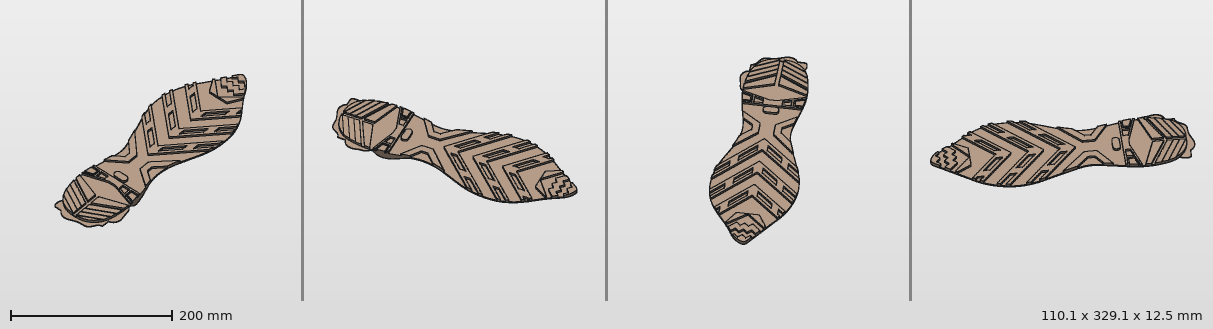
import cadquery as cq
import math


base_height = 2.0
tread_height = 3.0
sole_top = base_height + tread_height
flap_height = 1.0

sole_length = 319.5
sole_half_width = 55.0
beyond_edge = 65.8

chevron_tips = [238.0, 197.5, 158.0]
chevron_width = 19.0
left_slope = 0.9
right_slope = 1.08
pocket_offset = 5.3
pocket_width = 8.2
inner_pocket_span = (6.2, 26.5)
outer_pocket_start = 36.2

zigzag_center = 1.3
zigzag_pitch = 10.2
zigzag_corners = 5
zigzag_depth = 5.0
zigzag_valleys = [307.5, 297.7, 287.0]
toe_pad_bottom = 270.7
toe_pad_gap = 0.5
toe_pad_half_width = 14.5
toe_pad_side_slope = 1.75
toe_notch_left_slope = 0.9
toe_notch_right_slope = 0.83

waist_center = 121.0
waist_outer_x = 9.5
waist_outer_half_length = 8.0
waist_inner_x = 18.5
waist_inner_half_length = 4.3
waist_upper_slope = 1.0
waist_lower_slope = 0.72

stud_length = 19.7
stud_width = 9.5
stud_y = 87.8

bar_top = 80.3
bar_bottom = 71.5
bar_flat_half_width = 5.0
bar_slope = 0.32
bar_pocket_top = 77.5
bar_pocket_bottom = 75.3
bar_inner_pocket_span = (12.2, 23.5)
bar_outer_pocket_start = 26.0
bar_island_gap = 2.0

heel_groove_half_width = 2.5
front_pad_top = 42.8
front_pad_bottom = 28.5
front_pad_top_slope = 0.35
front_pad_bottom_slope = 0.54
rear_pad_top = 24.7
rear_slope = 0.53
ramp_count = 3
ramp_pitch = 8.0
ramp_drop = 1.0

lug_front = 116.5
lug_rear = 61.0
lug_lowest_y = 74.5
lug_depth = 7.5
lug_inner_x = 30.3
lug_rear_inner_x = 35.0
lug_bend_y = 92.0

right_edge = [
    (10.0, 313.0), (21.0, 295.7), (34.0, 277.5), (45.7, 260.0), (53.0, 240.8), (sole_half_width, 218.0),
    (51.5, 194.5), (43.0, 170.7), (34.0, 146.7), (30.3, 121.0), (32.5, 104.0), (37.2, 81.2), (40.0, 58.5),
    (38.5, 36.2), (31.2, 14.8), (18.0, 3.3),
]
left_edge = [
    (-8.5, 313.0), (-20.5, 295.7), (-33.2, 277.5), (-44.5, 260.0), (-51.3, 242.0), (-sole_half_width, 218.0),
    (-52.0, 194.5), (-44.0, 170.7), (-35.5, 146.7), (-30.3, 121.0), (-32.5, 104.0), (-37.2, 81.2), (-40.0, 58.5),
    (-38.5, 36.2), (-31.2, 14.8), (-18.0, 3.3),
]


def sole_prism(bottom, height):
    tip = (0, sole_length)
    heel = (0, 0)
    return (
        cq.Workplane("XY", origin=(0, 0, bottom))
        .spline([tip] + right_edge + [heel] + left_edge[::-1], periodic=True)
        .close()
        .extrude(height)
    )


def tread_prism(points):
    return cq.Workplane("XY", origin=(0, 0, base_height)).polyline(points).close().extrude(tread_height)


def mirrored_pair(pad):
    return [pad, pad.mirror("YZ")]


def arm(tip_y, width, start, end, side):
    """Sloping bar of one chevron half between two distances from the centre line."""
    slope = right_slope if side > 0 else left_slope
    return tread_prism([
        (side * start, tip_y + slope * start),
        (side * end, tip_y + slope * end),
        (side * end, tip_y + slope * end - width),
        (side * start, tip_y + slope * start - width),
    ])


def chevron(tip_y):
    bar = arm(tip_y, chevron_width, 0, beyond_edge, 1).union(arm(tip_y, chevron_width, 0, beyond_edge, -1))
    for side in (1, -1):
        for start, end in (inner_pocket_span, (outer_pocket_start, beyond_edge)):
            bar = bar.cut(arm(tip_y - pocket_offset, pocket_width, start, end, side))
    return bar


def zigzag(valley_y):
    """Corner points of alternating valleys and peaks, with straight arms rising past the sole edges."""
    first = zigzag_center - (zigzag_corners - 1) * zigzag_pitch / 4
    last = first + (zigzag_corners - 1) * zigzag_pitch / 2
    points = [(first - beyond_edge, valley_y + beyond_edge)]
    for step in range(zigzag_corners):
        rise = zigzag_depth if step % 2 else 0
        points.append((first + step * zigzag_pitch / 2, valley_y + rise))
    points.append((last + beyond_edge, valley_y + beyond_edge))
    return points


def toe_steps():
    tip_line, step_top, step_bottom = [zigzag(valley_y) for valley_y in zigzag_valleys]
    return [tread_prism(tip_line), tread_prism(step_top + step_bottom[::-1])]


def toe_pads():
    pads = []
    for side, slope in ((1, toe_notch_right_slope), (-1, toe_notch_left_slope)):
        meet_x = toe_pad_side_slope * toe_pad_half_width / (toe_pad_side_slope - slope)
        pads.append(tread_prism([
            (side * toe_pad_gap / 2, toe_pad_bottom),
            (side * toe_pad_half_width, toe_pad_bottom),
            (side * meet_x, toe_pad_bottom + slope * meet_x),
        ]))
    return pads


def waist_bars():
    reach = beyond_edge

    def side_line(x, half_length):
        return [
            (x + reach, waist_center + half_length + waist_upper_slope * reach),
            (x, waist_center + half_length),
            (x, waist_center - half_length),
            (x + reach, waist_center - half_length - waist_lower_slope * reach),
        ]

    outer = side_line(waist_outer_x, waist_outer_half_length)
    inner = side_line(waist_inner_x, waist_inner_half_length)
    return mirrored_pair(tread_prism(outer + inner[::-1]))


def oval_stud():
    return (
        cq.Workplane("XY", origin=(0, stud_y, base_height))
        .slot2D(stud_length, stud_width)
        .extrude(tread_height)
    )


def under_bar_slope(top, bottom_at_center, start, end):
    """Block with a level upper edge and a lower edge parallel to the cross bar's."""
    return tread_prism([
        (start, top),
        (end, top),
        (end, bottom_at_center - bar_slope * end),
        (start, bottom_at_center - bar_slope * start),
    ])


def cross_bar():
    drop = bar_slope * (beyond_edge - bar_flat_half_width)
    bar = tread_prism([
        (-beyond_edge, bar_top),
        (beyond_edge, bar_top),
        (beyond_edge, bar_bottom - drop),
        (bar_flat_half_width, bar_bottom),
        (-bar_flat_half_width, bar_bottom),
        (-beyond_edge, bar_bottom - drop),
    ])
    inner_pocket = under_bar_slope(bar_pocket_top, bar_pocket_bottom, *bar_inner_pocket_span)
    outer_pocket = under_bar_slope(bar_pocket_top, bar_pocket_bottom, bar_outer_pocket_start, beyond_edge)
    island = under_bar_slope(
        bar_pocket_top - bar_island_gap,
        bar_pocket_bottom + bar_island_gap,
        bar_outer_pocket_start + bar_island_gap,
        beyond_edge,
    )
    for pocket in mirrored_pair(inner_pocket) + mirrored_pair(outer_pocket.cut(island)):
        bar = bar.cut(pocket)
    return bar


def front_heel_pads():
    start = heel_groove_half_width
    run = beyond_edge - start
    return mirrored_pair(tread_prism([
        (start, front_pad_top),
        (beyond_edge, front_pad_top + front_pad_top_slope * run),
        (beyond_edge, front_pad_bottom + front_pad_bottom_slope * run),
        (start, front_pad_bottom),
    ]))


def rear_heel_pads():
    """Pads whose surface steps down in slanted sawtooth ramps, ending in a level strip."""
    start = heel_groove_half_width
    pad = tread_prism([
        (start, rear_pad_top),
        (beyond_edge, rear_pad_top + rear_slope * (beyond_edge - start)),
        (beyond_edge, 0),
        (start, 0),
    ])
    angle = math.atan(rear_slope)
    inward = (-math.cos(angle), -math.sin(angle), 0)
    rearward = (math.sin(angle), -math.cos(angle), 0)
    ramp_width = ramp_pitch * math.cos(angle)
    for index in range(ramp_count):
        origin = (start, rear_pad_top - index * ramp_pitch, sole_top)
        ramp_cut = (
            cq.Workplane(cq.Plane(origin=origin, xDir=rearward, normal=inward))
            .polyline([(0, 0), (ramp_width, 0), (ramp_width, -ramp_drop)])
            .close()
            .extrude(beyond_edge, both=True)
        )
        pad = pad.cut(ramp_cut)
    return mirrored_pair(pad)


def heel_flap():
    """Thin ragged sheet spreading from under the heel."""
    return (
        cq.Workplane("XY")
        .moveTo(36.2, 61.0)
        .lineTo(40.0, 57.0)
        .spline([(44.0, 51.5), (45.5, 43.0), (47.0, 36.0), (46.0, 28.5), (37.5, 21.7)], includeCurrent=True)
        .lineTo(37.2, 10.5)
        .spline([(30.5, 6.5), (24.5, -2.0), (17.8, -3.5), (11.0, -4.0), (-3.0, -8.5), (-10.0, -9.2),
                 (-14.5, -7.5), (-19.0, -3.0)], includeCurrent=True)
        .lineTo(-29.5, -2.5)
        .spline([(-32.0, 2.5), (-31.2, 7.5), (-29.5, 11.5)], includeCurrent=True)
        .lineTo(0, 33.0)
        .close()
        .extrude(flap_height)
    )


def side_lug():
    """Lug under the +X edge, curved along Y and trimmed to the sole outline."""
    outer_x = sole_half_width
    side_profile = (
        cq.Workplane("YZ")
        .moveTo(lug_front, 0)
        .spline([(92.0, -4.5), (lug_lowest_y, -lug_depth), (65.8, -4.5), (lug_rear, 0)], includeCurrent=True)
        .lineTo(lug_rear, base_height)
        .lineTo(lug_front, base_height)
        .close()
        .extrude(outer_x)
    )
    plan = (
        cq.Workplane("XY", origin=(0, 0, -lug_depth))
        .moveTo(lug_inner_x, lug_front)
        .lineTo(lug_inner_x, lug_bend_y)
        .tangentArcPoint((lug_rear_inner_x, lug_rear), relative=False)
        .lineTo(outer_x, lug_rear)
        .lineTo(outer_x, lug_front)
        .close()
        .extrude(lug_depth + base_height)
    )
    return side_profile.intersect(plan).intersect(sole_prism(-lug_depth, lug_depth + base_height))


tread_pads = [chevron(tip_y) for tip_y in chevron_tips]
tread_pads += toe_steps() + toe_pads() + waist_bars()
tread_pads += [oval_stud(), cross_bar()]
tread_pads += front_heel_pads() + rear_heel_pads()

slab = cq.Workplane("XY").rect(2 * beyond_edge, 3 * sole_length).extrude(base_height)
for pad in tread_pads:
    slab = slab.union(pad)

result = slab.intersect(sole_prism(0, sole_top)).union(heel_flap()).union(side_lug())